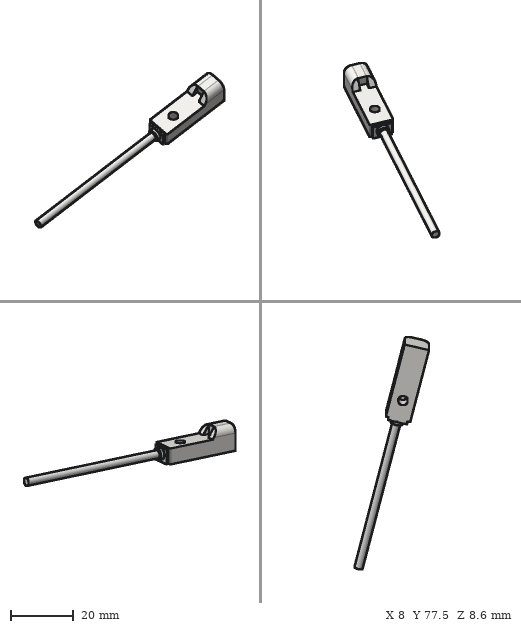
import cadquery as cq

total_length = 77.5
width = 8.0
head_height = 8.6

body_length = 25.0
body_height = 5.35
head_top_length = 6.5
head_base_length = 8.75
head_edge_radius = 2.6
corner_radius = 0.2

notch_width = 2.95

hole_diameter = 3.0
hole_from_head_end = 18.5

plate_width = 6.3
plate_height = 4.9
plate_thickness = 0.9
collar_diameter = 3.95
collar_chamfer = 0.15
collar_length = 1.4
cable_diameter = 2.7
cable_axis_height = 2.8

plate_end = body_length + plate_thickness
collar_end = plate_end + collar_length


def make_body():
    """Housing with a rounded head that slopes down to the flat body top."""
    side_profile = [
        (0, 0),
        (-body_length, 0),
        (-body_length, body_height),
        (-head_base_length, body_height),
        (-head_top_length, head_height),
        (0, head_height),
    ]
    housing = cq.Workplane("YZ").polyline(side_profile).close().extrude(width / 2, both=True)
    rounded_envelope = (
        cq.Workplane("XY")
        .box(width, body_length, head_height, centered=(True, False, False))
        .translate((0, -body_length, 0))
        .edges("|Y and >Z")
        .fillet(head_edge_radius)
    )
    return housing.intersect(rounded_envelope).edges("|Z and <Y").fillet(corner_radius)


def make_notch():
    """Square cut that leaves a vertical wall below the top of the slope."""
    return (
        cq.Workplane("XY", origin=(0, -head_base_length, body_height))
        .box(
            notch_width,
            head_base_length - head_top_length,
            head_height - body_height,
            centered=(True, False, False),
        )
    )


def make_hole():
    return (
        cq.Workplane("XY", origin=(0, -hole_from_head_end, 0))
        .circle(hole_diameter / 2)
        .extrude(body_height)
    )


def make_plate():
    """End plate, flush with the underside of the body."""
    return (
        cq.Workplane("XY", origin=(0, -plate_end, 0))
        .box(plate_width, plate_thickness, plate_height, centered=(True, False, False))
    )


def make_rod(diameter, start, end):
    """Round bar on the cable axis between two distances from the head end."""
    return (
        cq.Workplane("XZ", origin=(0, -start, cable_axis_height))
        .circle(diameter / 2)
        .extrude(end - start)
    )


collar = make_rod(collar_diameter, plate_end, collar_end).faces("<Y").chamfer(collar_chamfer)
cable = make_rod(cable_diameter, plate_end, total_length)

result = make_body().cut(make_notch()).cut(make_hole())
result = result.union(make_plate()).union(collar).union(cable)